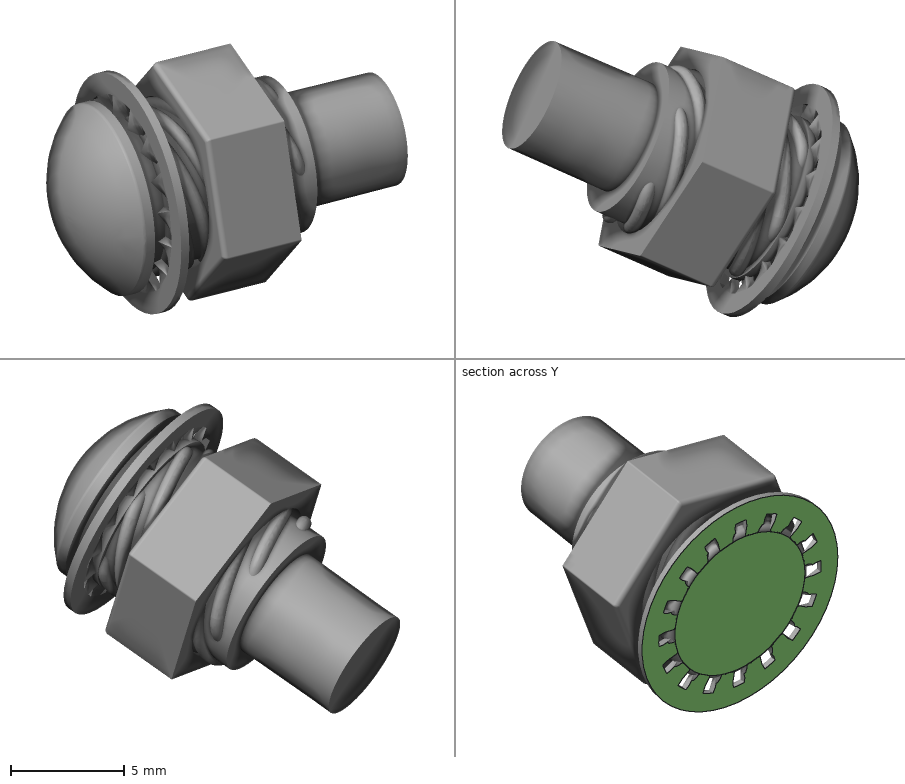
import cadquery as cq
import math


OVERALL_LENGTH = 15.87

HEAD_RADIUS = 4.38
HEAD_TIP_Y = -2.55
DOME_EDGE_Y = -0.49
DOME_EDGE_FILLET = 0.19
SELECTION_MARGIN = 0.02
SLEEVE_RADIUS = 3.57
SLEEVE_END_Y = 8.38
COLLAR_RADIUS = 3.87
COLLAR_START_Y = 0.89
COLLAR_END_Y = 1.38
COLLAR_FILLET = 0.25

RIB_COUNT = 6
RIB_RADIUS = 0.33
RIB_LEAD = 6.35
RIB_START_Y = 1.67
RIB_TURN = 323.5
RUNOUT_RADIUS = 1.49
RUNOUT_ANGLE = 60.0

STUB_FRONT_RADIUS = 2.6
STUB_REAR_RADIUS = 2.57
STUB_END_Y = HEAD_TIP_Y + OVERALL_LENGTH

NUT_ACROSS_FLATS = 9.52
NUT_START_Y = 2.89
NUT_END_Y = 6.71
NUT_CORNER_FILLET = 0.1
NUT_FRONT_FILLET = 0.24
NUT_TURN = 11.5
NUT_BORE_CLEARANCE = 0.02

WASHER_DIAMETER = 10.97
WASHER_BORE_RADIUS = 4.52
WASHER_START_Y = 0.75
WASHER_THICKNESS = 0.4
TOOTH_COUNT = 16
TOOTH_ROOT_WIDTH = 1.17
TOOTH_TIP_WIDTH = 0.87
TOOTH_TIP_RADIUS = 3.62
TOOTH_TWIST = 33.0
TOOTH_PHASE = 12.0
TOOTH_ROOT_RADIUS = 4.48
TOOTH_ROOT_DEPTH = 0.24


def along_y(start_y):
    """Plane square to the screw axis, with its normal toward +Y."""
    return cq.Workplane(cq.Plane(origin=(0, start_y, 0), xDir=(1, 0, 0), normal=(0, 1, 0)))


def disc(radius, start_y, end_y):
    return along_y(start_y).circle(radius).extrude(end_y - start_y)


def make_head():
    """Short cylinder closed by a spherical dome, with a small fillet between them."""
    dome_height = DOME_EDGE_Y - HEAD_TIP_Y
    sphere_radius = (HEAD_RADIUS**2 + dome_height**2) / (2 * dome_height)
    half_angle = math.asin(HEAD_RADIUS / sphere_radius) / 2
    mid_point = (
        sphere_radius * math.sin(half_angle),
        HEAD_TIP_Y + sphere_radius * (1 - math.cos(half_angle)),
    )
    head = (
        cq.Workplane("XY")
        .moveTo(0, 0)
        .lineTo(HEAD_RADIUS, 0)
        .lineTo(HEAD_RADIUS, DOME_EDGE_Y)
        .threePointArc(mid_point, (0, HEAD_TIP_Y))
        .close()
        .revolve(360, (0, 0), (0, 1))
    )
    reach = HEAD_RADIUS + SELECTION_MARGIN
    dome_edge = cq.selectors.BoxSelector(
        (-reach, DOME_EDGE_Y - SELECTION_MARGIN, -reach),
        (reach, DOME_EDGE_Y + SELECTION_MARGIN, reach),
        boundingbox=True,
    )
    return head.edges(dome_edge).fillet(DOME_EDGE_FILLET)


def make_collar():
    """Ridge round the sleeve at the start of the thread, rounded on its front edge."""
    return disc(COLLAR_RADIUS, COLLAR_START_Y, COLLAR_END_Y).faces("<Y").edges().fillet(COLLAR_FILLET)


def make_rib():
    """One round helical rib, centred on the sleeve surface, whose ends curve down into the sleeve.

    It is wound about Z, starting on +X, then laid along Y.
    """
    height = RIB_LEAD * RIB_TURN / 360
    climb = math.atan2(RIB_LEAD, 2 * math.pi * SLEEVE_RADIUS)
    start_plane = cq.Plane(
        origin=(SLEEVE_RADIUS, 0, 0),
        xDir=(1, 0, 0),
        normal=(0, math.cos(climb), math.sin(climb)),
    )
    helix = cq.Workplane(cq.Wire.makeHelix(RIB_LEAD, height, SLEEVE_RADIUS))
    coil = cq.Workplane(start_plane).circle(RIB_RADIUS).sweep(helix, isFrenet=True)
    start_runout = (
        cq.Workplane(start_plane)
        .circle(RIB_RADIUS)
        .revolve(RUNOUT_ANGLE, (-RUNOUT_RADIUS, 0), (-RUNOUT_RADIUS, 1))
    )
    end_runout = (
        start_runout.rotate((0, 0, 0), (1, 0, 0), 180)
        .rotate((0, 0, 0), (0, 0, 1), RIB_TURN)
        .translate((0, 0, height))
    )
    rib = coil.union(start_runout).union(end_runout)
    return rib.rotate((0, 0, 0), (1, 0, 0), -90).translate((0, RIB_START_Y, 0))


def make_screw():
    screw = make_head().union(disc(SLEEVE_RADIUS, 0, SLEEVE_END_Y))
    screw = screw.union(make_collar())
    rib = make_rib()
    ribs = [
        rib.rotate((0, 0, 0), (0, 1, 0), index * 360 / RIB_COUNT).val() for index in range(RIB_COUNT)
    ]
    return cq.Workplane(screw.val().fuse(*ribs))


def make_stub():
    return (
        along_y(SLEEVE_END_Y)
        .circle(STUB_FRONT_RADIUS)
        .workplane(offset=STUB_END_Y - SLEEVE_END_Y)
        .circle(STUB_REAR_RADIUS)
        .loft()
    )


def make_nut():
    """Hexagon with rounded front edges and a bore that just clears the thread crests."""
    corner_diameter = NUT_ACROSS_FLATS / math.cos(math.pi / 6)
    blank = (
        along_y(NUT_START_Y)
        .polygon(6, corner_diameter)
        .extrude(NUT_END_Y - NUT_START_Y)
        .edges("|Y")
        .fillet(NUT_CORNER_FILLET)
        .faces("<Y")
        .edges()
        .fillet(NUT_FRONT_FILLET)
        .rotate((0, 0, 0), (0, 1, 0), NUT_TURN)
    )
    bore_radius = SLEEVE_RADIUS + RIB_RADIUS + NUT_BORE_CLEARANCE
    return blank.cut(disc(bore_radius, NUT_START_Y, NUT_END_Y))


def make_tooth():
    """Tooth pointing from the washer rim toward the axis, twisted about its own length.

    It stands on +Z: a flat root let into the rim, then a blade whose tip is tilted.
    """
    middle_y = WASHER_START_Y + WASHER_THICKNESS / 2
    root = (
        cq.Workplane("XY", origin=(0, middle_y, TOOTH_ROOT_RADIUS))
        .rect(TOOTH_ROOT_WIDTH, WASHER_THICKNESS)
        .extrude(TOOTH_ROOT_DEPTH)
    )
    blade = (
        cq.Workplane("XY", origin=(0, middle_y, TOOTH_ROOT_RADIUS))
        .rect(TOOTH_ROOT_WIDTH, WASHER_THICKNESS)
        .workplane(offset=TOOTH_TIP_RADIUS - TOOTH_ROOT_RADIUS)
        .transformed(rotate=(0, 0, TOOTH_TWIST))
        .rect(TOOTH_TIP_WIDTH, WASHER_THICKNESS)
        .loft(ruled=True)
    )
    return root.union(blade)


def make_washer():
    """Flat ring with twisted teeth, cut back where they would meet the screw collar."""
    washer = (
        along_y(WASHER_START_Y)
        .circle(WASHER_DIAMETER / 2)
        .circle(WASHER_BORE_RADIUS)
        .extrude(WASHER_THICKNESS)
    )
    tooth = make_tooth()
    for index in range(TOOTH_COUNT):
        angle = TOOTH_PHASE + index * 360 / TOOTH_COUNT
        washer = washer.union(tooth.rotate((0, 0, 0), (0, 1, 0), angle))
    return washer.cut(make_collar())


screw = make_screw()
stub = make_stub()
nut = make_nut()
washer = make_washer()
result = cq.Compound.makeCompound([screw.val(), stub.val(), nut.val(), washer.val()])